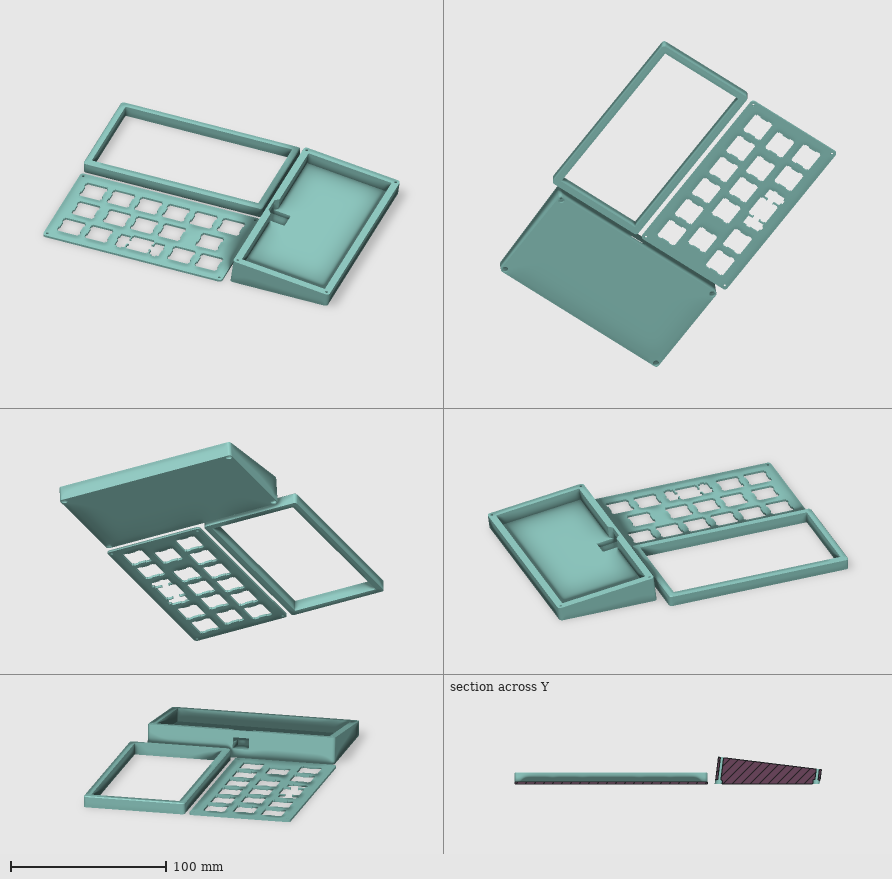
import cadquery as cq
import math

KEY_COLUMNS = 6
KEY_ROWS = 3
KEY_FIELD_LENGTH = 114.3
KEY_PITCH = KEY_FIELD_LENGTH / KEY_COLUMNS
BORDER = 5.0
LENGTH = KEY_FIELD_LENGTH + 2 * BORDER
WIDTH = KEY_ROWS * KEY_PITCH + 2 * BORDER
CORNER_RADIUS = 2.0
SCREW_HOLE_DIAMETER = 1.75
SCREW_INSET = BORDER / 2

TOTAL_LENGTH = 197.5
TOTAL_WIDTH = 137.2
FRAME_Y = TOTAL_WIDTH - WIDTH
CASE_Y = 3.0

PLATE_THICKNESS = 1.5
ROW_KEY_WIDTHS = [
    [1, 1, 1, 1, 1, 1],
    [1.25, 1, 1, 1, 1.75],
    [1, 1, 2, 1, 1],
]
STABILIZED_KEY_WIDTH = 2
SWITCH_SIZE = 14.0
CLIP_NOTCH_SPAN = 15.5
CLIP_NOTCH_INNER = 2.8
CLIP_NOTCH_OUTER = 6.0
STABILIZER_OFFSET = 11.8
STABILIZER_WIDTH = 6.7
STABILIZER_BACK = 5.5
STABILIZER_FRONT = -6.7
STABILIZER_TAB_WIDTH = 3.0
STABILIZER_TAB_FRONT = -7.9
STABILIZER_NOTCH_REACH = 4.1
STABILIZER_NOTCH_FRONT = -0.5
WIRE_CHANNEL_HALF = 2.4

FRAME_HEIGHT = 7.5
FRAME_WALL = 4.3
FRAME_TOP_CHAMFER = 0.5

TYPING_ANGLE = 7.0
CASE_HEIGHT = 17.5
CASE_WALL = 4.5
CASE_CAVITY_DEPTH = 8.5
SCREW_HEAD_DIAMETER = 4.0
SCREW_HEAD_HEIGHT = 2.5
PORT_WIDTH = 10.7
PORT_TOP_DEPTH = 4.5
PORT_BOTTOM_DEPTH = 11.8
PORT_WALL = 2.0
PORT_POCKET_LENGTH = 12.2
PORT_FLARE = 2.4


def block(x0, x1, y0, y1, z0, z1):
    """Box between two opposite corners."""
    return cq.Workplane("XY").box(x1 - x0, y1 - y0, z1 - z0, centered=False).translate((x0, y0, z0))


def rounded_slab(x_size, y_size, height):
    """Slab with its corner at the origin and rounded vertical edges."""
    return block(0, x_size, 0, y_size, 0, height).edges("|Z").fillet(CORNER_RADIUS)


def screw_centers(x_size, y_size):
    """Centers of the four corner screws."""
    return [
        (x, y)
        for x in (SCREW_INSET, x_size - SCREW_INSET)
        for y in (SCREW_INSET, y_size - SCREW_INSET)
    ]


def cylinder(center, diameter, z0, z1):
    """Upright cylinder between two heights."""
    return cq.Workplane("XY", origin=(*center, z0)).circle(diameter / 2).extrude(z1 - z0)


def switch_opening():
    """Square switch opening with two clip notches on each side."""
    half = SWITCH_SIZE / 2
    opening = block(-half, half, -half, half, 0, PLATE_THICKNESS)
    reach = CLIP_NOTCH_SPAN / 2
    for y0, y1 in ((CLIP_NOTCH_INNER, CLIP_NOTCH_OUTER), (-CLIP_NOTCH_OUTER, -CLIP_NOTCH_INNER)):
        opening = opening.union(block(-reach, reach, y0, y1, 0, PLATE_THICKNESS))
    return opening


def stabilizer_opening():
    """Stabilizer slots on both sides of a wide key, joined by the wire channel."""
    reach = STABILIZER_OFFSET
    channel = block(-reach, reach, -WIRE_CHANNEL_HALF, WIRE_CHANNEL_HALF, 0, PLATE_THICKNESS)
    half = STABILIZER_WIDTH / 2
    tab_half = STABILIZER_TAB_WIDTH / 2
    slot = block(-half, half, STABILIZER_FRONT, STABILIZER_BACK, 0, PLATE_THICKNESS)
    tab = block(-tab_half, tab_half, STABILIZER_TAB_FRONT, 0, 0, PLATE_THICKNESS)
    notch = block(0, STABILIZER_NOTCH_REACH, STABILIZER_NOTCH_FRONT, WIRE_CHANNEL_HALF, 0, PLATE_THICKNESS)
    right = slot.union(tab).union(notch).translate((STABILIZER_OFFSET, 0, 0))
    return channel.union(right).union(right.mirror("YZ"))


def make_plate():
    plate = rounded_slab(LENGTH, WIDTH, PLATE_THICKNESS)
    for center in screw_centers(LENGTH, WIDTH):
        plate = plate.cut(cylinder(center, SCREW_HOLE_DIAMETER, 0, PLATE_THICKNESS))
    for row, key_widths in enumerate(ROW_KEY_WIDTHS):
        y = WIDTH - BORDER - (row + 0.5) * KEY_PITCH
        key_start = BORDER
        for key_width in key_widths:
            x = key_start + key_width * KEY_PITCH / 2
            plate = plate.cut(switch_opening().translate((x, y, 0)))
            if key_width == STABILIZED_KEY_WIDTH:
                plate = plate.cut(stabilizer_opening().translate((x, y, 0)))
            key_start += key_width * KEY_PITCH
    return plate


def make_frame():
    frame = rounded_slab(LENGTH, WIDTH, FRAME_HEIGHT).faces(">Z").chamfer(FRAME_TOP_CHAMFER)
    opening = block(FRAME_WALL, LENGTH - FRAME_WALL, FRAME_WALL, WIDTH - FRAME_WALL, 0, FRAME_HEIGHT)
    return frame.cut(opening).translate((0, FRAME_Y, 0))


def port_cutout():
    """Connector window in the outer wall, and the pocket behind it with flared cavity corners."""
    y0 = (LENGTH - PORT_WIDTH) / 2
    y1 = y0 + PORT_WIDTH
    window = block(0, CASE_WALL, y0, y1, -PORT_BOTTOM_DEPTH, -PORT_TOP_DEPTH)
    pocket = block(PORT_WALL, PORT_WALL + PORT_POCKET_LENGTH, y0, y1, -PORT_BOTTOM_DEPTH, 0)
    flare = (
        cq.Workplane("XY", origin=(0, 0, -CASE_CAVITY_DEPTH))
        .polyline([
            (CASE_WALL, y0 - PORT_FLARE),
            (CASE_WALL - PORT_FLARE, y0),
            (CASE_WALL - PORT_FLARE, y1),
            (CASE_WALL, y1 + PORT_FLARE),
        ])
        .close()
        .extrude(CASE_CAVITY_DEPTH)
    )
    return window.union(pocket).union(flare)


def make_case():
    angle = math.radians(TYPING_ANGLE)
    prism_depth = 2 * CASE_HEIGHT
    tray = rounded_slab(WIDTH, LENGTH, prism_depth).translate((0, 0, -prism_depth))
    tray = tray.cut(block(CASE_WALL, WIDTH - CASE_WALL, CASE_WALL, LENGTH - CASE_WALL, -CASE_CAVITY_DEPTH, 0))
    for center in screw_centers(WIDTH, LENGTH):
        seat = (SCREW_HEAD_HEIGHT - CASE_HEIGHT + center[0] * math.sin(angle)) / math.cos(angle)
        tray = tray.cut(cylinder(center, SCREW_HOLE_DIAMETER, seat, 0))
        tray = tray.cut(cylinder(center, SCREW_HEAD_DIAMETER, -prism_depth, seat))
    tray = tray.cut(port_cutout())
    case_x = TOTAL_LENGTH - WIDTH * math.cos(angle)
    case = tray.rotate((0, 0, 0), (0, 1, 0), TYPING_ANGLE).translate((case_x, CASE_Y, CASE_HEIGHT))
    below = block(0, 2 * TOTAL_LENGTH, 0, TOTAL_WIDTH, -2 * prism_depth, 0)
    return case.cut(below)


plate = make_plate()
frame = make_frame()
case = make_case()

result = cq.Compound.makeCompound([plate.val(), frame.val(), case.val()])